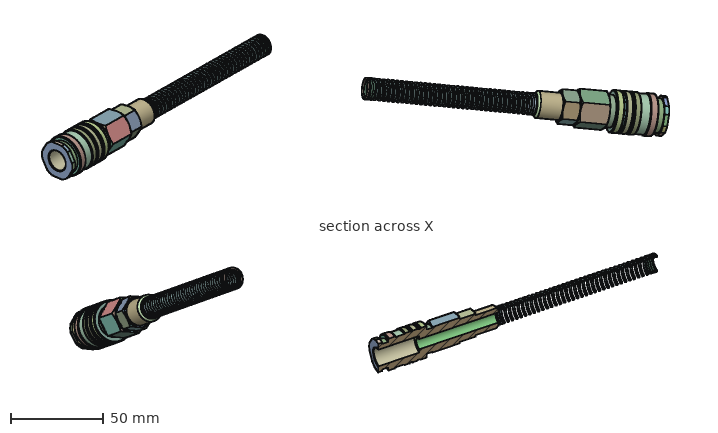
import cadquery as cq
import math

total_length = 170.0
full_turn = 360.0
hexagon_sides = 6
half_facet_angle = math.pi / hexagon_sides

flange_diameter = 22.0
flange_across_flats = 21.0
flange_end = 2.5
neck_diameter = 19.0

sleeve_start = 6.1
sleeve_end = 29.6
sleeve_diameter = 22.5
grip_ring_diameter = 23.5
grip_ring_chamfer = (grip_ring_diameter - sleeve_diameter) / 2
grip_rings = [(sleeve_start, 10.7), (15.8, 19.7), (20.5, 24.4), (25.5, sleeve_end)]

collar_diameter = 18.0
body_hex_start = 33.0
body_hex_across_flats = 19.0
nut_start = 49.8
nut_across_flats = 17.0
barrel_start = 59.4
barrel_diameter = 15.0
barrel_end = 73.3
barrel_chamfer = 1.35
hex_chamfer_angle = 30.0

plug_bore_diameter = 11.8
plug_bore_depth = 25.0
plug_bore_chamfer = 0.4
hose_bore_diameter = 7.0

spring_diameter = 12.0
wire_diameter = 1.2
coil_radius = (spring_diameter - wire_diameter) / 2
closed_pitch = 1.25
free_closed_turns = 3.2
seated_closed_turns = 4.2
open_pitch = 2.647
open_turns = 33.5
spring_windings = [
    (closed_pitch, seated_closed_turns),
    (open_pitch, open_turns),
    (closed_pitch, free_closed_turns),
]
end_ring_height = total_length - wire_diameter / 2
end_ring_overlap = 0.1
wound_length = sum(pitch * turns for pitch, turns in spring_windings)
spring_start = end_ring_height - end_ring_overlap - wound_length
spring_start_angle = 13.0


def axial(start, end, diameter):
    """Cylinder on the Y axis from start to end."""
    plane = cq.Workplane("XZ", origin=(0, start, 0))
    return plane.circle(diameter / 2).extrude(start - end)


def hexagon(start, end, across_flats):
    """Hexagonal prism on the Y axis with flats facing +Z and -Z."""
    corner_diameter = across_flats / math.cos(half_facet_angle)
    plane = cq.Workplane("XZ", origin=(0, start, 0))
    return plane.polygon(hexagon_sides, corner_diameter).extrude(start - end)


def chamfered_hexagon(start, end, across_flats):
    """Hexagonal prism whose corners are turned to a cone at both ends."""
    flat_radius = across_flats / 2
    corner_radius = flat_radius / math.cos(half_facet_angle)
    cone_length = (corner_radius - flat_radius) * math.tan(math.radians(hex_chamfer_angle))
    turned_blank = (
        cq.Workplane("XY")
        .moveTo(0, start)
        .lineTo(flat_radius, start)
        .lineTo(corner_radius, start + cone_length)
        .lineTo(corner_radius, end - cone_length)
        .lineTo(flat_radius, end)
        .lineTo(0, end)
        .close()
        .revolve(full_turn, (0, 0, 0), (0, 1, 0))
    )
    return hexagon(start, end, across_flats).intersect(turned_blank)


def make_flange():
    disc = axial(0, flange_end, flange_diameter)
    return disc.intersect(hexagon(0, flange_end, flange_across_flats))


def make_sleeve():
    sleeve = axial(sleeve_start, sleeve_end, sleeve_diameter)
    for start, end in grip_rings:
        sleeve = sleeve.union(axial(start, end, grip_ring_diameter).edges().chamfer(grip_ring_chamfer))
    return sleeve


def make_body():
    body = make_flange()
    body = body.union(axial(flange_end, sleeve_start, neck_diameter))
    body = body.union(make_sleeve())
    body = body.union(axial(sleeve_end, body_hex_start, collar_diameter))
    body = body.union(chamfered_hexagon(body_hex_start, nut_start, body_hex_across_flats))
    body = body.union(chamfered_hexagon(nut_start, barrel_start, nut_across_flats))
    barrel = axial(barrel_start, barrel_end, barrel_diameter)
    return body.union(barrel.faces(">Y").chamfer(barrel_chamfer))


def cut_bore(body):
    plug_bore = axial(0, plug_bore_depth, plug_bore_diameter)
    mouth = cq.Solid.makeCone(
        plug_bore_diameter / 2 + plug_bore_chamfer,
        plug_bore_diameter / 2,
        plug_bore_chamfer,
        dir=cq.Vector(0, 1, 0),
    )
    hose_bore = axial(0, barrel_end, hose_bore_diameter)
    return body.cut(plug_bore).cut(hose_bore).cut(mouth)


def coil(pitch, turns, start, start_angle):
    """Right-handed coil about Z. Its end sections lie in planes through Z, so coils join flush."""
    path = cq.Workplane("XY").add(cq.Wire.makeHelix(pitch, pitch * turns, coil_radius))
    section = cq.Workplane("XZ").center(coil_radius, 0).circle(wire_diameter / 2)
    wound = section.sweep(path, isFrenet=True)
    return wound.rotate((0, 0, 0), (0, 0, 1), start_angle).translate((0, 0, start))


def make_spring():
    """Spring with a flat ring at its free end and its other end buried in the barrel."""
    spring = cq.Workplane("XY")
    position = spring_start
    angle = spring_start_angle
    for pitch, turns in spring_windings:
        spring = spring.union(coil(pitch, turns, position, angle))
        position += pitch * turns
        angle += full_turn * turns
    end_ring = cq.Solid.makeTorus(coil_radius, wire_diameter / 2).translate((0, 0, end_ring_height))
    return spring.union(end_ring).rotate((0, 0, 0), (1, 0, 0), -90)


result = cut_bore(make_body()).union(make_spring())